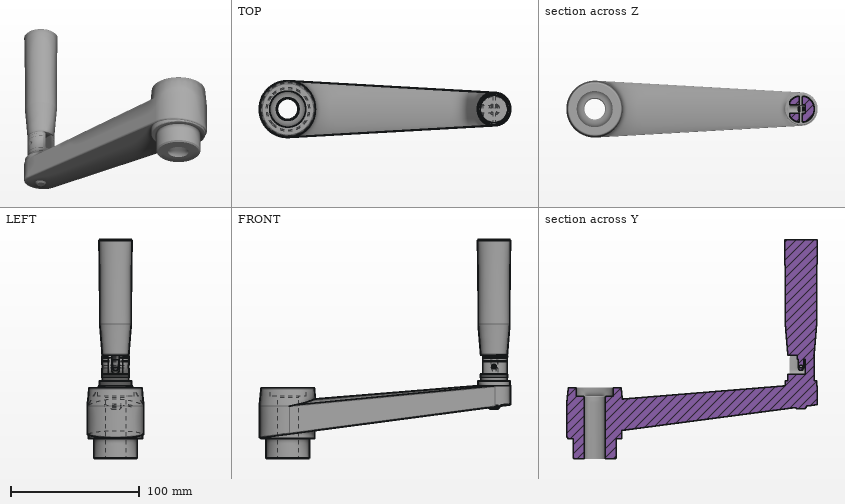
import cadquery as cq
import math

arm_length = 160.0

hub_radius = 22.075
hub_top_radius = 20.7
hub_foot_radius = 21.0
spigot_radius = 17.0
spigot_chamfer = 1.0
hub_base_z = 15.5
hub_shoulder_z = 41.4
hub_top_z = 55.3
hub_foot_chamfer = 0.5
hub_top_fillet = 0.9
bore_radius = 8.0
bore_chamfer = 0.8
recess_radius = 14.0
recess_depth = 6.5

arm_end_radius = 13.0
arm_end_top_z = 56.6
arm_bottom_z = 19.1
arm_bottom_slope = 0.132
crown_radius = 68.0
crown_z = 44.85
crown_slope = 0.0814
arm_edge_fillet = 1.0
crown_edge_fillet = 0.6
oversize = 100.0

rivet_tip_radius = 3.0
rivet_radius = 4.35
rivet_tip_z = 38.6
collar_radius = 12.5
collar_top_z = 60.7
collar_chamfer = 0.5
collar_embed = 1.0
neck_radius = 10.3
sleeve_radius = 10.5
sleeve_base_z = 63.2
sleeve_top_z = 80.3
sleeve_chamfer = 0.5
groove_heights = (65.3, 75.5, 78.1)
groove_width = 0.6
groove_depth = 0.2

flat_width = 11.5
flat_base_z = 65.9
flat_top_z = 78.5
flat_top_chamfer = 0.6
window_width = 6.0
window_back_x = 3.0
plunger_radius = 4.92 / 2
plunger_collar_z = 77.0
plunger_shoulder_z = 71.2
plunger_tip_radius = 1.23
plunger_tip_z = 68.4
cross_hole_radius = 1.0
cross_hole_counterbore_radius = 1.75
cross_hole_counterbore_depth = 0.6
cross_hole_z = 71.6

grip_base_radius = 10.3
grip_base_z = 80.8
grip_lip_radius = 10.5
grip_lip_z = 81.7
grip_crease_radius = 12.4
grip_crease_z = 105.0
grip_waist_radius = 12.4
grip_waist_z = 130.0
grip_top_radius = 12.95
grip_top_z = 170.36
grip_top_chamfer = 0.9
grip_cap_radius = 10.7
grip_cap_rise = 0.1


def revolve_about_z(profile, x=0.0):
    """Revolve a closed (radius, z) profile about the vertical axis at the given X."""
    return profile.close().revolve(360, (0, 0, 0), (0, 1, 0)).translate((x, 0, 0))


def cylinder(radius, bottom_z, top_z, x=0.0):
    return cq.Workplane("XY", origin=(x, 0, bottom_z)).circle(radius).extrude(top_z - bottom_z)


def make_hub():
    foot = cylinder(hub_foot_radius, hub_base_z, hub_shoulder_z).faces("<Z").chamfer(hub_foot_chamfer)
    spigot = cylinder(spigot_radius, 0, hub_shoulder_z).faces("<Z").chamfer(spigot_chamfer)
    head = (
        cq.Workplane("XZ")
        .moveTo(0, hub_shoulder_z)
        .lineTo(hub_radius, hub_shoulder_z)
        .lineTo(hub_top_radius, hub_top_z)
        .lineTo(0, hub_top_z)
    )
    head = revolve_about_z(head).faces(">Z").edges().fillet(hub_top_fillet)
    return foot.union(spigot).union(head)


def cut_hub_bore(body):
    recess_floor_z = hub_top_z - recess_depth
    bore = cylinder(bore_radius, 0, hub_top_z)
    recess = cylinder(recess_radius, recess_floor_z, hub_top_z)
    countersink = (
        cq.Workplane("XY", origin=(0, 0, recess_floor_z))
        .circle(bore_radius + bore_chamfer)
        .workplane(offset=-bore_chamfer)
        .circle(bore_radius)
        .loft()
    )
    return body.cut(bore).cut(recess).cut(countersink)


def make_arm():
    lean = math.asin((hub_radius - arm_end_radius) / arm_length)
    hub_x = hub_radius * math.sin(lean)
    hub_y = hub_radius * math.cos(lean)
    end_x = arm_length + arm_end_radius * math.sin(lean)
    end_y = arm_end_radius * math.cos(lean)
    flanks = (
        cq.Workplane("XY")
        .polyline([(0, 0), (hub_x, hub_y), (end_x, end_y), (end_x, -end_y), (hub_x, -hub_y)])
        .close()
        .extrude(oversize)
    )
    axis_direction = cq.Vector(1, 0, crown_slope)
    section = cq.Plane(
        origin=(-oversize, 0, crown_z - crown_slope * oversize),
        xDir=(0, 1, 0),
        normal=axis_direction.toTuple(),
    )
    crown_length = arm_length + 2 * oversize
    crown = cq.Workplane(section).center(0, -crown_radius).circle(crown_radius).extrude(crown_length)
    beam = flanks.intersect(crown)
    for side in (1, -1):
        edge_point = (arm_length / 2, side * oversize, oversize)
        beam = beam.edges(cq.NearestToPointSelector(edge_point)).fillet(crown_edge_fillet)

    hub_end = cylinder(hub_radius, 0, hub_shoulder_z)
    handle_end = cylinder(arm_end_radius, 0, arm_end_top_z, arm_length)
    start_x = -oversize
    finish_x = arm_length + oversize
    below = (
        cq.Workplane("XZ", origin=(0, oversize, 0))
        .moveTo(start_x, arm_bottom_z + arm_bottom_slope * start_x)
        .lineTo(finish_x, arm_bottom_z + arm_bottom_slope * finish_x)
        .lineTo(finish_x, -oversize)
        .lineTo(start_x, -oversize)
        .close()
        .extrude(2 * oversize)
    )
    arm = beam.union(hub_end).union(handle_end).cut(below)
    return arm.faces("<Z").edges().fillet(arm_edge_fillet)


def make_spindle():
    collar_base_z = arm_end_top_z - collar_embed
    rivet_cone_z = rivet_tip_z + rivet_radius - rivet_tip_radius
    profile = (
        cq.Workplane("XZ")
        .moveTo(0, rivet_tip_z)
        .lineTo(rivet_tip_radius, rivet_tip_z)
        .lineTo(rivet_radius, rivet_cone_z)
        .lineTo(rivet_radius, collar_base_z)
        .lineTo(collar_radius, collar_base_z)
        .lineTo(collar_radius, collar_top_z - collar_chamfer)
        .lineTo(collar_radius - collar_chamfer, collar_top_z)
        .lineTo(neck_radius, collar_top_z)
        .lineTo(neck_radius, sleeve_base_z)
        .lineTo(sleeve_radius, sleeve_base_z)
        .lineTo(sleeve_radius, sleeve_top_z - sleeve_chamfer)
        .lineTo(sleeve_radius - sleeve_chamfer, sleeve_top_z)
        .lineTo(0, sleeve_top_z)
    )
    spindle = revolve_about_z(profile, arm_length)
    for height in groove_heights:
        ring = cylinder(sleeve_radius + groove_depth, height, height + groove_width, arm_length)
        core = cylinder(sleeve_radius - groove_depth, height, height + groove_width, arm_length)
        spindle = spindle.cut(ring.cut(core))
    return spindle


def cut_latch_window(spindle):
    flat_x = arm_length - math.sqrt(sleeve_radius**2 - (flat_width / 2) ** 2)
    outside_x = arm_length - 2 * sleeve_radius
    flat = (
        cq.Workplane("XZ", origin=(0, sleeve_radius, 0))
        .moveTo(outside_x, flat_base_z)
        .lineTo(flat_x, flat_base_z)
        .lineTo(flat_x, flat_top_z)
        .lineTo(flat_x + flat_top_chamfer, sleeve_top_z)
        .lineTo(outside_x, sleeve_top_z)
        .close()
        .extrude(2 * sleeve_radius)
    )
    half_width = window_width / 2
    window = (
        cq.Workplane("YZ", origin=(arm_length - sleeve_radius, 0, 0))
        .moveTo(-half_width, sleeve_top_z)
        .lineTo(-half_width, flat_base_z + half_width)
        .threePointArc((0, flat_base_z), (half_width, flat_base_z + half_width))
        .lineTo(half_width, sleeve_top_z)
        .close()
        .extrude(sleeve_radius + window_back_x)
    )
    return spindle.cut(flat).cut(window)


def make_plunger():
    profile = (
        cq.Workplane("XZ")
        .moveTo(0, plunger_tip_z)
        .lineTo(plunger_tip_radius, plunger_tip_z)
        .lineTo(plunger_radius, plunger_shoulder_z)
        .lineTo(plunger_radius, plunger_collar_z)
        .lineTo(window_width / 2, plunger_collar_z)
        .lineTo(window_width / 2, grip_lip_z)
        .lineTo(0, grip_lip_z)
    )
    return revolve_about_z(profile, arm_length)


def make_grip():
    rim_z = grip_top_z - grip_cap_rise
    profile = (
        cq.Workplane("XZ")
        .moveTo(0, sleeve_top_z)
        .lineTo(sleeve_radius - sleeve_chamfer, sleeve_top_z)
        .lineTo(grip_base_radius, grip_base_z)
        .lineTo(grip_lip_radius, grip_lip_z)
        .lineTo(grip_crease_radius, grip_crease_z)
        .threePointArc((grip_waist_radius, grip_waist_z), (grip_top_radius, rim_z - grip_top_chamfer))
        .lineTo(grip_top_radius - grip_top_chamfer, rim_z)
        .lineTo(grip_cap_radius, rim_z)
        .lineTo(grip_cap_radius, grip_top_z)
        .lineTo(0, grip_top_z)
    )
    return revolve_about_z(profile, arm_length)


def cut_cross_hole(body):
    hole = (
        cq.Workplane("XZ", origin=(arm_length, sleeve_radius, cross_hole_z))
        .circle(cross_hole_radius)
        .extrude(2 * sleeve_radius)
    )
    core_width = 2 * (sleeve_radius - cross_hole_counterbore_depth)
    counterbores = (
        cq.Workplane("XZ", origin=(arm_length, sleeve_radius, cross_hole_z))
        .circle(cross_hole_counterbore_radius)
        .extrude(2 * sleeve_radius)
        .cut(cq.Workplane("XY", origin=(arm_length, 0, cross_hole_z)).box(core_width, core_width, core_width))
    )
    return body.cut(hole).cut(counterbores)


crank = cut_hub_bore(make_hub().union(make_arm()))
handle = cut_latch_window(make_spindle()).union(make_grip()).union(make_plunger())
result = crank.union(cut_cross_hole(handle))